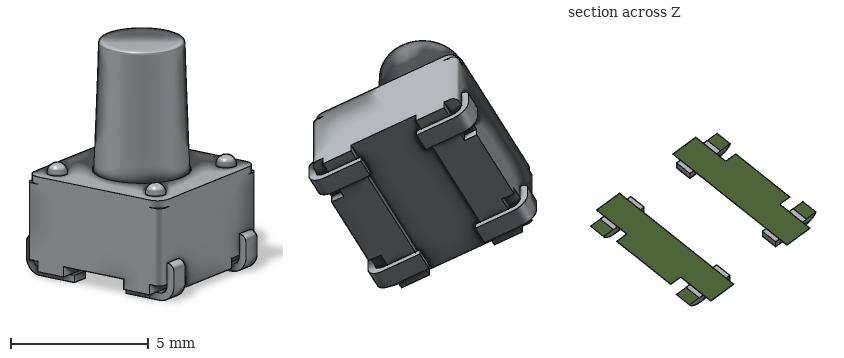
import cadquery as cq

total_height = 8.8
housing_size = 6.0
housing_height = 3.6
lead_thickness = 0.28
housing_bottom = lead_thickness
housing_top = housing_bottom + housing_height
half_housing = housing_size / 2

wall_corner_radius = 0.25
cover_corner_radius = 0.5
cover_thickness = 0.28

relief_height = 0.39
channel_width = 2.68
corner_notch_x = 0.5
corner_notch_y = 1.58

rivet_diameter = 0.75
rivet_offset = 2.2
rivet_base_height = 0.03

lead_side_overhang = 0.3
lead_width = 0.7
lead_y = 2.25
lead_outer_x = half_housing + lead_side_overhang
lead_inner_x = 1.15
lead_height = 1.48
lead_bend_radius = 0.63
lead_inner_bend_radius = lead_bend_radius - lead_thickness
lead_tip_radius = lead_side_overhang

recess_diameter = 3.6
recess_depth = cover_thickness
button_base_diameter = 3.5
button_top_diameter = 3.14
button_edge_radius = 0.14
button_bottom = housing_top - recess_depth


def make_housing_block():
    """Square block with softly rounded walls under a more rounded cover plate."""
    walls = (
        cq.Workplane("XY")
        .workplane(offset=housing_bottom)
        .rect(housing_size, housing_size)
        .extrude(housing_height - cover_thickness)
        .edges("|Z")
        .fillet(wall_corner_radius)
    )
    cover = (
        cq.Workplane("XY")
        .workplane(offset=housing_top - cover_thickness)
        .rect(housing_size, housing_size)
        .extrude(cover_thickness)
        .edges("|Z")
        .fillet(cover_corner_radius)
    )
    return walls.union(cover)


def make_underside_relief():
    """Central channel along Y and a notch at each bottom corner."""
    floor = cq.Workplane("XY").workplane(offset=housing_bottom)
    channel = floor.rect(channel_width, housing_size).extrude(relief_height)
    notches = (
        floor.rect(housing_size, housing_size, forConstruction=True)
        .vertices()
        .rect(2 * corner_notch_x, 2 * corner_notch_y)
        .extrude(relief_height)
    )
    return channel.union(notches)


def make_recess():
    """Round blind recess that holds the foot of the button."""
    return (
        cq.Workplane("XY")
        .workplane(offset=button_bottom)
        .circle(recess_diameter / 2)
        .extrude(recess_depth)
    )


def make_rivet(x, y):
    """Domed rivet head: a short cylinder topped by a hemisphere."""
    radius = rivet_diameter / 2
    profile = (
        cq.Workplane("XZ")
        .lineTo(radius, 0)
        .lineTo(radius, rivet_base_height)
        .radiusArc((0, rivet_base_height + radius), -radius)
        .close()
    )
    return profile.revolve(360, (0, 0, 0), (0, 1, 0)).translate((x, y, housing_top))


def make_lead(side, y):
    """J-shaped lead on the +X side (side = 1) or the -X side (side = -1)."""
    lead = (
        cq.Workplane("XZ")
        .moveTo(lead_inner_x, 0)
        .lineTo(lead_outer_x - lead_bend_radius, 0)
        .radiusArc((lead_outer_x, lead_bend_radius), -lead_bend_radius)
        .lineTo(lead_outer_x, lead_height - lead_tip_radius)
        .radiusArc((half_housing, lead_height), -lead_tip_radius)
        .lineTo(half_housing, lead_thickness + lead_inner_bend_radius)
        .radiusArc((half_housing - lead_inner_bend_radius, lead_thickness), lead_inner_bend_radius)
        .lineTo(lead_inner_x, lead_thickness)
        .close()
        .extrude(lead_width / 2, both=True)
    )
    if side < 0:
        lead = lead.mirror("YZ")
    return lead.translate((0, y, 0))


def make_housing():
    """Housing with its rivet heads and leads as a single body."""
    body = make_housing_block().cut(make_underside_relief()).cut(make_recess())
    for side_x in (-1, 1):
        for side_y in (-1, 1):
            body = body.union(make_rivet(side_x * rivet_offset, side_y * rivet_offset))
            body = body.union(make_lead(side_x, side_y * lead_y))
    return body


def make_button():
    """Tapered round button with a rounded top edge, standing on the recess floor."""
    foot = (
        cq.Workplane("XY")
        .workplane(offset=button_bottom)
        .circle(button_base_diameter / 2)
        .extrude(recess_depth)
    )
    stem = (
        cq.Workplane("XY")
        .workplane(offset=housing_top)
        .circle(button_base_diameter / 2)
        .workplane(offset=total_height - housing_top)
        .circle(button_top_diameter / 2)
        .loft(ruled=True)
        .faces(">Z")
        .edges()
        .fillet(button_edge_radius)
    )
    return foot.union(stem)


housing = make_housing()
button = make_button()

result = cq.Compound.makeCompound([housing.val(), button.val()])